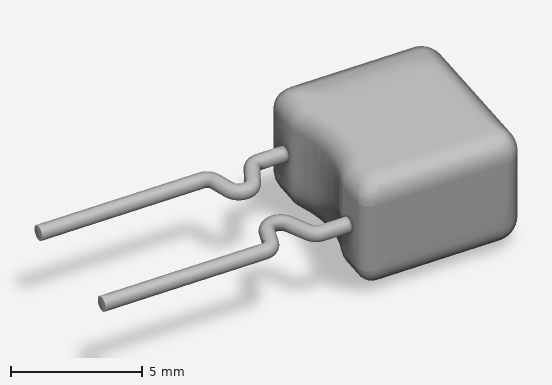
import cadquery as cq
import math

HOUSING_WIDTH = 7.62
HOUSING_HEIGHT = 5.07
HOUSING_LENGTH = 7.03
EDGE_RADIUS = 0.99
FRONT_CORNER_RADIUS = 0.5
NOTCH_HALF_WIDTH = 2.19
NOTCH_DEPTH = 0.42
NOTCH_LIP_RADIUS = EDGE_RADIUS

OVERALL_LENGTH = 17.67
LEAD_DIAMETER = 0.64
LEAD_PITCH = 5.09
KINK_START = 1.43
KINK_TIP = 2.56
KINK_END = 3.27
KINK_REACH = 2.26
KINK_START_RADIUS = 0.48
KINK_TIP_RADIUS = 0.53
KINK_END_RADIUS = 0.46

LEAD_LENGTH = OVERALL_LENGTH - HOUSING_LENGTH


def housing_outline():
    """Plan outline of the housing; the lip and notch arcs are tangent to each other."""
    half_width = HOUSING_WIDTH / 2
    centre_distance = (NOTCH_HALF_WIDTH**2 + NOTCH_DEPTH**2) / (2 * NOTCH_DEPTH)
    arc_angle = math.asin(NOTCH_HALF_WIDTH / centre_distance)
    lip_end_x = NOTCH_HALF_WIDTH - NOTCH_LIP_RADIUS * math.sin(arc_angle)
    lip_end_y = NOTCH_LIP_RADIUS * (1 - math.cos(arc_angle))
    lip_mid_x = NOTCH_HALF_WIDTH - NOTCH_LIP_RADIUS * math.sin(arc_angle / 2)
    lip_mid_y = NOTCH_LIP_RADIUS * (1 - math.cos(arc_angle / 2))
    return (
        cq.Workplane("XY")
        .workplane(offset=-HOUSING_HEIGHT / 2)
        .moveTo(-half_width, HOUSING_LENGTH)
        .lineTo(-half_width, 0)
        .lineTo(-NOTCH_HALF_WIDTH, 0)
        .threePointArc((-lip_mid_x, lip_mid_y), (-lip_end_x, lip_end_y))
        .threePointArc((0, NOTCH_DEPTH), (lip_end_x, lip_end_y))
        .threePointArc((lip_mid_x, lip_mid_y), (NOTCH_HALF_WIDTH, 0))
        .lineTo(half_width, 0)
        .lineTo(half_width, HOUSING_LENGTH)
        .close()
    )


def make_housing():
    block = housing_outline().extrude(HOUSING_HEIGHT)
    block = block.edges("|Z and >Y").fillet(EDGE_RADIUS)
    block = block.edges("|Z and <Y and (<X or >X)").fillet(FRONT_CORNER_RADIUS)
    return block.faces("<Z or >Z").edges().fillet(EDGE_RADIUS)


def toward(start, target, distance):
    """Point at a distance from start along the line to target."""
    share = distance / math.dist(start, target)
    return tuple(a + (b - a) * share for a, b in zip(start, target))


def rounded_path(points, radii):
    """Polyline through the points whose inner corners are rounded by tangent arcs."""
    path = cq.Workplane("XY").moveTo(*points[0])
    for before, corner, after, radius in zip(points, points[1:], points[2:], radii):
        heading_in = math.atan2(corner[1] - before[1], corner[0] - before[0])
        heading_out = math.atan2(after[1] - corner[1], after[0] - corner[0])
        half_turn = math.remainder(heading_out - heading_in, 2 * math.pi) / 2
        setback = radius * math.tan(abs(half_turn))
        path = path.lineTo(*toward(corner, before, setback))
        path = path.tangentArcPoint(toward(corner, after, setback), relative=False)
    return path.lineTo(*points[-1])


def make_lead(side):
    """One lead; side is -1 for the lead at -X and +1 for the lead at +X."""
    lead_x = side * LEAD_PITCH / 2
    tip_x = lead_x - side * KINK_REACH
    centre_line = rounded_path(
        [
            (lead_x, 0),
            (lead_x, -KINK_START),
            (tip_x, -KINK_TIP),
            (lead_x, -KINK_END),
            (lead_x, -LEAD_LENGTH),
        ],
        [KINK_START_RADIUS, KINK_TIP_RADIUS, KINK_END_RADIUS],
    )
    section = cq.Workplane("XZ", origin=(lead_x, 0, 0)).circle(LEAD_DIAMETER / 2)
    return section.sweep(centre_line)


housing = make_housing()
leads = [make_lead(side) for side in (-1, 1)]

result = cq.Compound.makeCompound([housing.val(), *[lead.val() for lead in leads]])